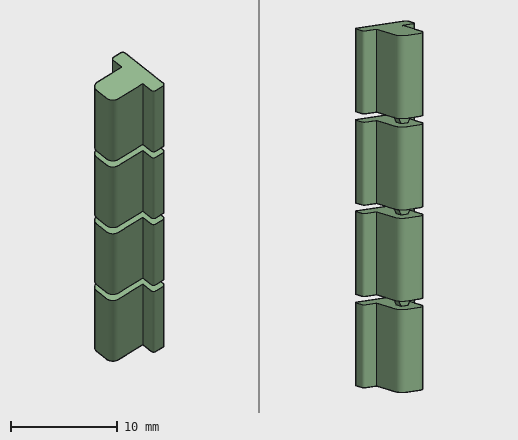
import cadquery as cq

SEGMENT_COUNT = 4
SEGMENT_HEIGHT = 8.0
GAP = 0.8
PITCH = SEGMENT_HEIGHT + GAP

FLANGE_WIDTH = 6.0
FLANGE_THICKNESS = 1.5
FLANGE_CORNER_RADIUS = 0.3
STEM_WIDTH = 3.0
STEM_CORNER_RADIUS = 0.8
TOTAL_DEPTH = 5.35
STEM_LENGTH = TOTAL_DEPTH - FLANGE_THICKNESS

NECK_TOP_WIDTH = 1.6
NECK_BOTTOM_WIDTH = 0.8
NECK_DEPTH = 0.8
NECK_FRONT_Y = 1.4


def make_segment():
    """One T-section block with rounded vertical outer corners, base at Z = 0."""
    stem = (
        cq.Workplane("XY")
        .box(STEM_WIDTH, TOTAL_DEPTH, SEGMENT_HEIGHT, centered=(True, False, False))
        .edges("|Z and <Y")
        .fillet(STEM_CORNER_RADIUS)
    )
    flange = (
        cq.Workplane("XY")
        .box(FLANGE_WIDTH, FLANGE_THICKNESS, SEGMENT_HEIGHT, centered=(True, False, False))
        .edges("|Z")
        .fillet(FLANGE_CORNER_RADIUS)
        .translate((0, STEM_LENGTH, 0))
    )
    return stem.union(flange)


def make_neck():
    """One tapered bridge filling the height of a gap, base at Z = 0."""
    half_top = NECK_TOP_WIDTH / 2
    half_bottom = NECK_BOTTOM_WIDTH / 2
    outline = [
        (-half_bottom, 0),
        (half_bottom, 0),
        (half_top, GAP),
        (-half_top, GAP),
    ]
    neck = cq.Workplane("XZ").polyline(outline).close().extrude(-NECK_DEPTH)
    return neck.translate((0, NECK_FRONT_Y, 0))


def make_strip():
    """The full row of segments with a neck in every gap."""
    segment = make_segment()
    neck = make_neck()
    strip = segment
    for index in range(1, SEGMENT_COUNT):
        segment_base = index * PITCH
        strip = strip.union(neck.translate((0, 0, segment_base - GAP)))
        strip = strip.union(segment.translate((0, 0, segment_base)))
    return strip


result = make_strip()